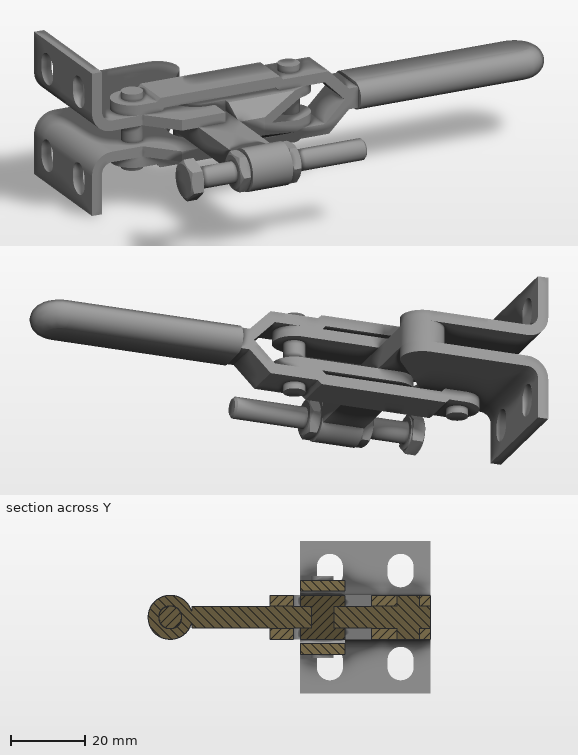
import cadquery as cq
import math


SHEET = 3.0
ARM_HALF = 3.0
PLATE_OUT = ARM_HALF + SHEET
PIN_R = 3.0
EYE_R = 6.0
RIVET_HALF = 11.0

ARM_PIVOT = (6.0, 34.0)
HANDLE_PIVOT = (29.0, 15.0)
LINK_LOW_PIVOT = (29.0, 34.0)
LINK_TOP_PIVOT = (29.0, 62.0)

SIDE_X = 43.2
LINK_RIGHT = LINK_LOW_PIVOT[0] + EYE_R
ARM_TOP = ARM_PIVOT[1] + EYE_R
ARM_BOTTOM = ARM_PIVOT[1] - EYE_R

BASE_WIDTH = 35.0
BASE_HALF_HEIGHT = 20.5
BEND_IN = 3.0
BEND_OUT = BEND_IN + SHEET
RELIEF_R = 7.8
TAB_TOP = 36.0
TAB_LOW = 23.0
TAB_FOOT = 15.2
SLOT_WIDTH = 7.0
SLOT_LENGTH = 9.0
SLOT_EDGE = 8.0
SLOT_Z = 12.5

FLANGE_CORNER_Y = 47.8
CREASE_X = 36.8
FLANGE_ANGLE = 28.0

STRAP_BULGE = 1.0
BULGE_START = 20.8
BULGE_END = HANDLE_PIVOT[1] + LINK_TOP_PIVOT[1] - BULGE_START
NECK_START = 69.9
GRIP_START = 79.8
GRIP_END = 137.76
GRIP_HALF_WIDTH = 8.0
GRIP_R = 4.0

SPINDLE_X = 70.0
SPINDLE_R = 3.0
BUSH_R = 6.0
BAR_END = 64.2
HEX_FLATS = 10.0
NUT_HEIGHT = 3.2
HEAD_BOTTOM = 10.0
HEAD_HEIGHT = 3.6
HEAD_TURN = 40.0
COLLAR_R = 4.6
COLLAR_HEIGHT = 0.4
NECK_FILLET = 0.25
SPINDLE_TOP = 64.0
TIP_CHAMFER = 0.6
HEX_CHAMFER_ANGLE = 30.0
HEX_FACE_R = 4.7


def disc(center, radius, half_length):
    """Cylinder along Z, centred on Z = 0."""
    return cq.Workplane("XY").center(*center).circle(radius).extrude(half_length, both=True)


def along_spindle(y):
    """Workplane across the spindle axis at the given Y, extruding toward +Y."""
    return cq.Workplane("ZX", origin=(SPINDLE_X, y, 0))


def with_mirror(half):
    """Join an upper half with its mirror image below Z = 0."""
    return half.union(half.mirror("XY"))


def on_circle(center, radius, angle):
    """Point on a circle, the angle in radians from +X."""
    return (center[0] + radius * math.cos(angle), center[1] + radius * math.sin(angle))


def base_plate():
    """Upright side plate with a sloped shoulder, a link relief and a stop tab."""
    pivot_gap = LINK_LOW_PIVOT[0] - ARM_PIVOT[0]
    shoulder = math.pi / 2 - math.asin((EYE_R + RELIEF_R) / pivot_gap)
    relief_end = LINK_LOW_PIVOT[0] + RELIEF_R
    eye_mid = (shoulder + math.pi) / 2
    return (
        cq.Workplane("XY", origin=(0, 0, ARM_HALF))
        .moveTo(0, BEND_OUT)
        .lineTo(ARM_PIVOT[0] - EYE_R, ARM_PIVOT[1])
        .threePointArc(on_circle(ARM_PIVOT, EYE_R, eye_mid), on_circle(ARM_PIVOT, EYE_R, shoulder))
        .lineTo(*on_circle(LINK_LOW_PIVOT, RELIEF_R, shoulder + math.pi))
        .threePointArc(on_circle(LINK_LOW_PIVOT, RELIEF_R, -math.pi / 4), (relief_end, LINK_LOW_PIVOT[1]))
        .lineTo(relief_end, TAB_TOP)
        .lineTo(SIDE_X, TAB_TOP)
        .lineTo(SIDE_X, TAB_LOW)
        .lineTo(BASE_WIDTH, TAB_FOOT)
        .lineTo(BASE_WIDTH, BEND_OUT)
        .close()
        .extrude(SHEET)
    )


def base_flange():
    """Bent mounting flange with two slots."""
    bend_center = (BEND_OUT, PLATE_OUT + BEND_IN)
    bend_mid = -3 * math.pi / 4
    flange = (
        cq.Workplane("YZ")
        .moveTo(BEND_OUT, ARM_HALF)
        .threePointArc(on_circle(bend_center, BEND_OUT, bend_mid), (0, bend_center[1]))
        .lineTo(0, BASE_HALF_HEIGHT)
        .lineTo(SHEET, BASE_HALF_HEIGHT)
        .lineTo(SHEET, bend_center[1])
        .threePointArc(on_circle(bend_center, BEND_IN, bend_mid), (BEND_OUT, PLATE_OUT))
        .close()
        .extrude(BASE_WIDTH)
    )
    slots = (
        cq.Workplane("XZ")
        .pushPoints([(SLOT_EDGE, SLOT_Z), (BASE_WIDTH - SLOT_EDGE, SLOT_Z)])
        .slot2D(SLOT_LENGTH, SLOT_WIDTH, 90)
        .extrude(-BEND_OUT)
    )
    return flange.cut(slots)


def make_base():
    """Two bent plates joined by the handle pivot pin."""
    plates = with_mirror(base_plate().union(base_flange()))
    plates = plates.cut(disc(ARM_PIVOT, PIN_R, PLATE_OUT))
    return plates.union(disc(HANDLE_PIVOT, PIN_R, RIVET_HALF))


def make_arm():
    """Bar with a spindle bush at its end and a pivot pin flush with the base plates."""
    bar = (
        cq.Workplane("XY")
        .moveTo(ARM_PIVOT[0], ARM_TOP)
        .threePointArc((ARM_PIVOT[0] - EYE_R, ARM_PIVOT[1]), (ARM_PIVOT[0], ARM_BOTTOM))
        .lineTo(BAR_END, ARM_BOTTOM)
        .lineTo(BAR_END, ARM_TOP)
        .close()
        .extrude(ARM_HALF, both=True)
    )
    bush = along_spindle(ARM_BOTTOM).circle(BUSH_R).extrude(ARM_TOP - ARM_BOTTOM)
    bore = along_spindle(ARM_BOTTOM).circle(SPINDLE_R).extrude(ARM_TOP - ARM_BOTTOM)
    arm = bar.union(bush).cut(bore)
    arm = arm.cut(disc(LINK_LOW_PIVOT, PIN_R, ARM_HALF))
    return arm.union(disc(ARM_PIVOT, PIN_R, PLATE_OUT))


def link_outline():
    """Outline of the link in XY, as a block through its full thickness."""
    dx = SIDE_X - LINK_TOP_PIVOT[0]
    dy = FLANGE_CORNER_Y - LINK_TOP_PIVOT[1]
    tangent = math.atan2(dy, dx) + math.acos(EYE_R / math.hypot(dx, dy))
    left = LINK_LOW_PIVOT[0] - EYE_R
    return (
        cq.Workplane("XY")
        .moveTo(left, LINK_LOW_PIVOT[1])
        .lineTo(left, LINK_TOP_PIVOT[1])
        .threePointArc(
            (LINK_TOP_PIVOT[0], LINK_TOP_PIVOT[1] + EYE_R), on_circle(LINK_TOP_PIVOT, EYE_R, tangent)
        )
        .lineTo(SIDE_X, FLANGE_CORNER_Y)
        .lineTo(SIDE_X, ARM_TOP)
        .lineTo(LINK_RIGHT, ARM_TOP)
        .lineTo(LINK_RIGHT, LINK_LOW_PIVOT[1])
        .threePointArc((LINK_LOW_PIVOT[0], LINK_LOW_PIVOT[1] - EYE_R), (left, LINK_LOW_PIVOT[1]))
        .close()
        .extrude(PLATE_OUT, both=True)
    )


def link_section():
    """Upper sheet of the link: flat, then bent inward until it meets its mirror image."""
    slope = math.tan(math.radians(FLANGE_ANGLE))
    inner_crease = CREASE_X - SHEET * math.tan(math.radians(FLANGE_ANGLE / 2))
    left = LINK_LOW_PIVOT[0] - EYE_R
    bottom = LINK_LOW_PIVOT[1] - EYE_R
    top = LINK_TOP_PIVOT[1] + EYE_R
    return (
        cq.Workplane("XZ", origin=(0, bottom, 0))
        .polyline([
            (left, ARM_HALF),
            (inner_crease, ARM_HALF),
            (inner_crease + ARM_HALF / slope, 0),
            (SIDE_X, 0),
            (SIDE_X, PLATE_OUT - (SIDE_X - CREASE_X) * slope),
            (CREASE_X, PLATE_OUT),
            (left, PLATE_OUT),
        ])
        .close()
        .extrude(bottom - top)
    )


def make_link():
    """Two sheets meeting at the flange, with the pins at both ends."""
    link = with_mirror(link_section()).intersect(link_outline())
    link = link.union(disc(LINK_LOW_PIVOT, PIN_R, PLATE_OUT))
    return link.union(disc(LINK_TOP_PIVOT, PIN_R, RIVET_HALF))


def handle_strap():
    """Upper strap: rounded end, bulged middle, then a 45 degree neck down to Z = 0."""
    shift = SHEET * math.tan(math.radians(45 / 2))
    bulged = PLATE_OUT + STRAP_BULGE
    end = HANDLE_PIVOT[1] - EYE_R
    creases = [
        (BULGE_START, PLATE_OUT, -shift),
        (BULGE_START + STRAP_BULGE, bulged, -shift),
        (BULGE_END - STRAP_BULGE, bulged, shift),
        (BULGE_END, PLATE_OUT, shift),
        (NECK_START, PLATE_OUT, shift),
        (NECK_START + PLATE_OUT, 0, shift),
    ]
    inner = [(y, z) for y, z, _ in creases]
    outer = [(y + move, z + SHEET) for y, z, move in creases]
    section = [(end, PLATE_OUT), *inner, (GRIP_START, 0)]
    section += [(GRIP_START, SHEET), *reversed(outer), (end, PLATE_OUT + SHEET)]
    strap = (
        cq.Workplane("YZ", origin=(HANDLE_PIVOT[0], 0, 0))
        .polyline(section)
        .close()
        .extrude(EYE_R, both=True)
    )
    left = HANDLE_PIVOT[0] - EYE_R
    right = HANDLE_PIVOT[0] + EYE_R
    outline = (
        cq.Workplane("XY")
        .moveTo(left, GRIP_START)
        .lineTo(left, HANDLE_PIVOT[1])
        .threePointArc((HANDLE_PIVOT[0], end), (right, HANDLE_PIVOT[1]))
        .lineTo(right, GRIP_START)
        .close()
        .extrude(bulged + SHEET)
    )
    return strap.intersect(outline)


def handle_grip():
    """Flat grip with full-round sides and a full-round end."""
    round_start = GRIP_END - GRIP_HALF_WIDTH
    flat_half = GRIP_HALF_WIDTH - GRIP_R
    body = (
        cq.Workplane("XZ", origin=(HANDLE_PIVOT[0], GRIP_START, 0))
        .slot2D(2 * GRIP_HALF_WIDTH, 2 * GRIP_R)
        .extrude(GRIP_START - round_start)
    )
    tip = (
        cq.Workplane("XZ", origin=(HANDLE_PIVOT[0], round_start, 0))
        .moveTo(0, -GRIP_R)
        .lineTo(flat_half, -GRIP_R)
        .threePointArc((GRIP_HALF_WIDTH, 0), (flat_half, GRIP_R))
        .lineTo(0, GRIP_R)
        .close()
        .revolve(180, (0, 0, 0), (0, 1, 0))
    )
    return body.union(tip)


def make_handle():
    """Two straps joined at the grip, bored for the two pins."""
    handle = with_mirror(handle_strap()).union(handle_grip())
    for pivot in (HANDLE_PIVOT, LINK_TOP_PIVOT):
        handle = handle.cut(disc(pivot, PIN_R, RIVET_HALF))
    return handle


def chamfered_hexagon(y, height, turn, low_end, high_end):
    """Hexagon across the spindle axis, with cone chamfers on the chosen ends."""
    corner_r = HEX_FLATS / math.sqrt(3)
    drop = (corner_r - HEX_FACE_R) * math.tan(math.radians(HEX_CHAMFER_ANGLE))
    prism = (
        along_spindle(y)
        .transformed(rotate=(0, 0, 90 - turn))
        .polygon(6, 2 * corner_r)
        .extrude(height)
    )
    profile = [(0, y)]
    profile += [(HEX_FACE_R, y), (corner_r, y + drop)] if low_end else [(corner_r, y)]
    top = y + height
    profile += [(corner_r, top - drop), (HEX_FACE_R, top)] if high_end else [(corner_r, top)]
    profile += [(0, top)]
    envelope = (
        cq.Workplane("XY", origin=(SPINDLE_X, 0, 0))
        .polyline(profile)
        .close()
        .revolve(360, (0, 0, 0), (0, 1, 0))
    )
    return prism.intersect(envelope)


def make_spindle():
    """Hexagon bolt with a nut on each side of the bush."""
    collar_base = HEAD_BOTTOM + HEAD_HEIGHT
    collar_top = collar_base + COLLAR_HEIGHT
    neck_center = (SPINDLE_R + NECK_FILLET, collar_top + NECK_FILLET)
    spindle = (
        cq.Workplane("XY", origin=(SPINDLE_X, 0, 0))
        .moveTo(0, collar_base)
        .lineTo(COLLAR_R, collar_base)
        .lineTo(COLLAR_R, collar_top)
        .lineTo(neck_center[0], collar_top)
        .threePointArc(
            on_circle(neck_center, NECK_FILLET, -3 * math.pi / 4), (SPINDLE_R, neck_center[1])
        )
        .lineTo(SPINDLE_R, SPINDLE_TOP - TIP_CHAMFER)
        .lineTo(SPINDLE_R - TIP_CHAMFER, SPINDLE_TOP)
        .lineTo(0, SPINDLE_TOP)
        .close()
        .revolve(360, (0, 0, 0), (0, 1, 0))
    )
    spindle = spindle.union(chamfered_hexagon(HEAD_BOTTOM, HEAD_HEIGHT, HEAD_TURN, True, False))
    for nut_y in (ARM_BOTTOM - NUT_HEIGHT, ARM_TOP):
        spindle = spindle.union(chamfered_hexagon(nut_y, NUT_HEIGHT, 0, True, True))
    return spindle


base = make_base()
arm = make_arm()
link = make_link()
handle = make_handle()
spindle = make_spindle()

result = cq.Compound.makeCompound([base.val(), arm.val(), link.val(), handle.val(), spindle.val()])